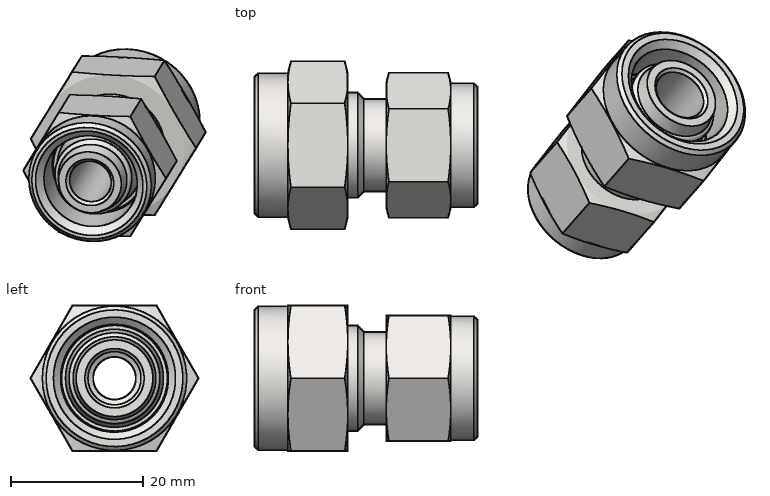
import cadquery as cq
import math


total_length = 33.7
left_hex_start = 5.05
left_hex_end = 14.1
right_collar_length = 4.05
right_hex_length = 9.75

left_hex_width = 22.0
right_hex_width = 19.0
collar_step = 0.1
collar_chamfer = 0.57
hex_chamfer_angle = 15.0
mouth_flare = 1.08
bore_clearance = 0.17

left_body_radius = 8.0
right_body_radius = 7.0
neck_cone_start = 15.57
left_bore_radius = 4.0
right_bore_radius = 3.2
bore_chamfer = 0.47
bore_cone_start = 14.1
bore_cone_half_angle = 59.0

nipple_recess = 0.47
nipple_half_angle = 12.0
shoulder_width = 0.57
tip_step = 2.2

bead_section_radius = 0.75
bead_crest_step = 1.1
bead_position = 3.4

nipple_cone_length = (tip_step - shoulder_width) / math.tan(math.radians(nipple_half_angle))
bore_cone_length = (left_bore_radius - right_bore_radius) / math.tan(math.radians(bore_cone_half_angle))
shoulder_position = nipple_recess + nipple_cone_length


def revolve_about_x(points):
    """Solid of revolution from a closed outline of (x, radius) points."""
    return cq.Workplane("XY").polyline(points).close().revolve(360, (0, 0, 0), (1, 0, 0))


def turn_to_right_end(shape):
    """Turn a part made for the left end around, so that it faces the right end."""
    middle = total_length / 2
    return shape.rotate((middle, 0, 0), (middle, 0, 1), 180)


def make_nut(hex_width, collar_length, hex_length, body_radius):
    """Union nut with its open end at X = 0."""
    hex_end = collar_length + hex_length
    flat_radius = hex_width / 2
    corner_radius = flat_radius / math.cos(math.radians(30))
    trim = (corner_radius - flat_radius) * math.tan(math.radians(hex_chamfer_angle))
    collar_radius = flat_radius - collar_step
    bore_radius = body_radius + bore_clearance

    hexagon = (
        cq.Workplane("YZ", origin=(collar_length, 0, 0))
        .polygon(6, 2 * corner_radius)
        .extrude(hex_length)
    )
    corner_trim = revolve_about_x([
        (collar_length, 0),
        (collar_length, flat_radius),
        (collar_length + trim, corner_radius),
        (hex_end - trim, corner_radius),
        (hex_end, flat_radius),
        (hex_end, 0),
    ])
    collar = revolve_about_x([
        (0, 0),
        (0, collar_radius - collar_chamfer),
        (collar_chamfer, collar_radius),
        (collar_length, collar_radius),
        (collar_length, 0),
    ])
    bore = revolve_about_x([
        (0, 0),
        (0, bore_radius + mouth_flare),
        (mouth_flare, bore_radius),
        (shoulder_position, bore_radius),
        (shoulder_position, body_radius),
        (hex_end, body_radius),
        (hex_end, 0),
    ])
    return hexagon.intersect(corner_trim).union(collar).cut(bore)


def make_bead(body_radius):
    """Ring-shaped bead around the left nipple of a body with the given radius."""
    ring_radius = body_radius - bead_crest_step - bead_section_radius
    ring = cq.Solid.makeTorus(
        ring_radius, bead_section_radius, cq.Vector(bead_position, 0, 0), cq.Vector(1, 0, 0)
    )
    return cq.Workplane(ring)


def make_body():
    """Body with stepped outside, a nipple and a bead at each end, and a narrowing bore."""
    left_tip = nipple_recess
    right_tip = total_length - nipple_recess
    neck_cone_end = neck_cone_start + left_body_radius - right_body_radius
    outside = revolve_about_x([
        (left_tip, 0),
        (left_tip, left_body_radius - tip_step),
        (shoulder_position, left_body_radius - shoulder_width),
        (shoulder_position, left_body_radius),
        (neck_cone_start, left_body_radius),
        (neck_cone_end, right_body_radius),
        (total_length - shoulder_position, right_body_radius),
        (total_length - shoulder_position, right_body_radius - shoulder_width),
        (right_tip, right_body_radius - tip_step),
        (right_tip, 0),
    ])
    bore = revolve_about_x([
        (left_tip, 0),
        (left_tip, left_bore_radius + bore_chamfer),
        (left_tip + bore_chamfer, left_bore_radius),
        (bore_cone_start, left_bore_radius),
        (bore_cone_start + bore_cone_length, right_bore_radius),
        (right_tip - bore_chamfer, right_bore_radius),
        (right_tip, right_bore_radius + bore_chamfer),
        (right_tip, 0),
    ])
    left_bead = make_bead(left_body_radius)
    right_bead = turn_to_right_end(make_bead(right_body_radius))
    return outside.union(left_bead).union(right_bead).cut(bore)


body = make_body()
left_nut = make_nut(left_hex_width, left_hex_start, left_hex_end - left_hex_start, left_body_radius)
right_nut = turn_to_right_end(
    make_nut(right_hex_width, right_collar_length, right_hex_length, right_body_radius)
)

result = cq.Compound.makeCompound([body.val(), left_nut.val(), right_nut.val()])